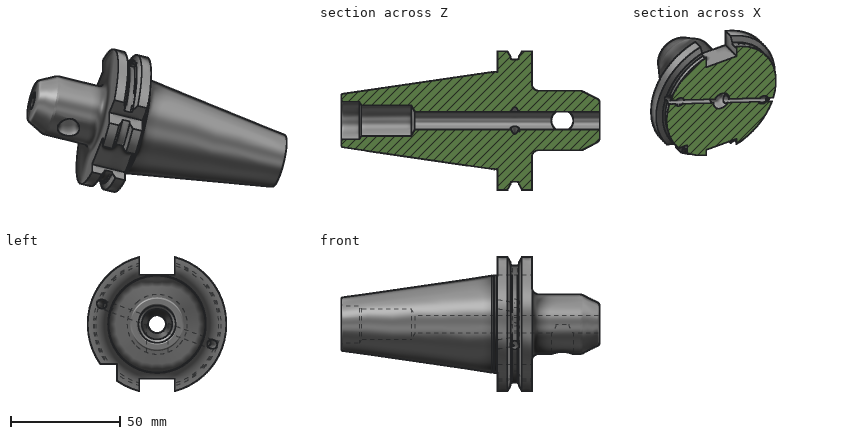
import cadquery as cq
import math

total_length = 118.4

taper_ratio = 7 / 24
gauge_diameter = 44.4
gauge_x = 68.4
taper_end_x = 69.0
small_end_fillet = 1.0

relief_diameter = 44.3
collar_diameter = 44.9
collar_x = 69.7
collar_chamfer = 0.4

flange_diameter = 63.6
flange_x = 71.5
flange_width = 15.9
flange_end_x = flange_x + flange_width
groove_x = 79.5
groove_floor_diameter = 56.2
groove_mouth_width = 6.6
groove_floor_width = 3.7
groove_flank_angle = 30.0
groove_corner_fillet = 0.6

slot_width = 16.1
upper_slot_floor = 22.6
lower_slot_floor = 25.1
notch_offset = 18.4

shank_diameter = 27.5
shank_fillet = 3.0
nose_cone_x = 110.0
nose_cone_angle = 27.0
nose_shoulder_fillet = 2.2
nose_tip_fillet = 2.0

pilot_diameter = 17.0
mouth_fillet = 1.1
pilot_depth = 8.3
thread_diameter = 14.0
thread_depth = 32.0
through_diameter = 8.0
thread_entry_angle = 60.0
drill_point_angle = 59.0

screw_hole_diameter = 10.0
screw_hole_x = 101.2

coolant_diameter = 4.1
coolant_radius = 26.9
coolant_clock_angle = 20.0
coolant_tilt = 27.0


def revolve_about_x(points):
    """Turn a closed (x, radius) outline about the X axis."""
    return cq.Workplane("XY").polyline(points).close().revolve(360, (0, 0, 0), (1, 0, 0))


def edge_ring(x, radius):
    """Selector for the circular edge of a turned body at one x and radius."""
    margin = 0.01
    reach = radius + margin
    lower_corner = (x - margin, -reach, -reach)
    upper_corner = (x + margin, reach, reach)
    return cq.selectors.BoxSelector(lower_corner, upper_corner, boundingbox=True)


def make_taper():
    def taper_radius(x):
        return (gauge_diameter + (x - gauge_x) * taper_ratio) / 2

    outline = [
        (0, 0),
        (0, taper_radius(0)),
        (taper_end_x, taper_radius(taper_end_x)),
        (taper_end_x, 0),
    ]
    return revolve_about_x(outline).faces("<X").edges().fillet(small_end_fillet)


def make_collar():
    relief = (
        cq.Workplane("YZ", origin=(taper_end_x, 0, 0))
        .circle(relief_diameter / 2)
        .extrude(flange_x - taper_end_x)
    )
    collar = (
        cq.Workplane("YZ", origin=(collar_x, 0, 0))
        .circle(collar_diameter / 2)
        .extrude(flange_x - collar_x)
        .edges()
        .chamfer(collar_chamfer)
    )
    return relief.union(collar)


def make_flange():
    rim_radius = flange_diameter / 2
    floor_radius = groove_floor_diameter / 2
    half_floor = groove_floor_width / 2
    half_mouth = groove_mouth_width / 2
    flank_depth = (half_mouth - half_floor) / math.tan(math.radians(groove_flank_angle))
    flank_radius = rim_radius - flank_depth
    flange = revolve_about_x([
        (flange_x, 0),
        (flange_x, rim_radius),
        (groove_x - half_mouth, rim_radius),
        (groove_x - half_floor, flank_radius),
        (groove_x - half_floor, floor_radius),
        (groove_x + half_floor, floor_radius),
        (groove_x + half_floor, flank_radius),
        (groove_x + half_mouth, rim_radius),
        (flange_end_x, rim_radius),
        (flange_end_x, 0),
    ])
    for side in (-1, 1):
        corner = edge_ring(groove_x + side * half_floor, floor_radius)
        flange = flange.edges(corner).fillet(groove_corner_fillet)
    return flange


def make_shank():
    radius = shank_diameter / 2
    tip_drop = (total_length - nose_cone_x) * math.tan(math.radians(nose_cone_angle))
    shank = revolve_about_x([
        (flange_end_x, 0),
        (flange_end_x, radius),
        (nose_cone_x, radius),
        (total_length, radius - tip_drop),
        (total_length, 0),
    ])
    shank = shank.edges(edge_ring(nose_cone_x, radius)).fillet(nose_shoulder_fillet)
    return shank.faces(">X").edges().fillet(nose_tip_fillet)


def cone_length(large_diameter, small_diameter, half_angle):
    return (large_diameter - small_diameter) / 2 / math.tan(math.radians(half_angle))


def make_bore():
    pilot_cone = cone_length(pilot_diameter, thread_diameter, thread_entry_angle)
    point_length = cone_length(thread_diameter, through_diameter, drill_point_angle)
    return revolve_about_x([
        (0, 0),
        (0, pilot_diameter / 2),
        (pilot_depth, pilot_diameter / 2),
        (pilot_depth + pilot_cone, thread_diameter / 2),
        (thread_depth, thread_diameter / 2),
        (thread_depth + point_length, through_diameter / 2),
        (total_length, through_diameter / 2),
        (total_length, 0),
    ])


def flange_block(y_size, z_size, y_center, z_center):
    """Cutting block spanning the full width of the flange."""
    center = (flange_x + flange_width / 2, y_center, z_center)
    return cq.Workplane("XY").box(flange_width, y_size, z_size).translate(center)


def make_flange_cuts():
    height = flange_diameter / 2
    upper_slot = flange_block(slot_width, height, 0, upper_slot_floor + height / 2)
    lower_slot = flange_block(slot_width, height, 0, -lower_slot_floor - height / 2)
    notch_center = notch_offset + height / 2
    notch = flange_block(height, height, notch_center, -notch_center)
    return upper_slot.union(lower_slot).union(notch)


def drill(start, direction, length, diameter):
    """Cutting cylinder that runs from start along direction."""
    cylinder = cq.Solid.makeCylinder(diameter / 2, length, cq.Vector(*start), cq.Vector(*direction))
    return cq.Workplane(cylinder)


def make_coolant_passage():
    """Tilted hole from the flange face, meeting a radial hole from groove to bore on the -Y side."""
    tilt = math.radians(coolant_tilt)
    run = groove_x - flange_x
    overshoot = coolant_diameter
    face_radius = coolant_radius + overshoot * math.tan(tilt)
    tilted = drill(
        (flange_x - overshoot, -face_radius, 0),
        (math.cos(tilt), math.sin(tilt), 0),
        (run + overshoot) / math.cos(tilt),
        coolant_diameter,
    )
    rim_radius = flange_diameter / 2
    radial = drill((groove_x, -rim_radius, 0), (0, 1, 0), rim_radius, coolant_diameter)
    return tilted.union(radial).rotate((0, 0, 0), (1, 0, 0), coolant_clock_angle)


body = make_taper().union(make_collar()).union(make_flange()).union(make_shank())
root_corner = edge_ring(flange_end_x, shank_diameter / 2)
body = body.edges(root_corner).fillet(shank_fillet)

body = body.cut(make_bore())
body = body.edges(edge_ring(0, pilot_diameter / 2)).fillet(mouth_fillet)
body = body.cut(make_flange_cuts())

passage = make_coolant_passage()
for turn in (0, 180):
    body = body.cut(passage.rotate((0, 0, 0), (1, 0, 0), turn))

screw_hole = drill((screw_hole_x, 0, 0), (0, 0, -1), shank_diameter, screw_hole_diameter)
result = body.cut(screw_hole)